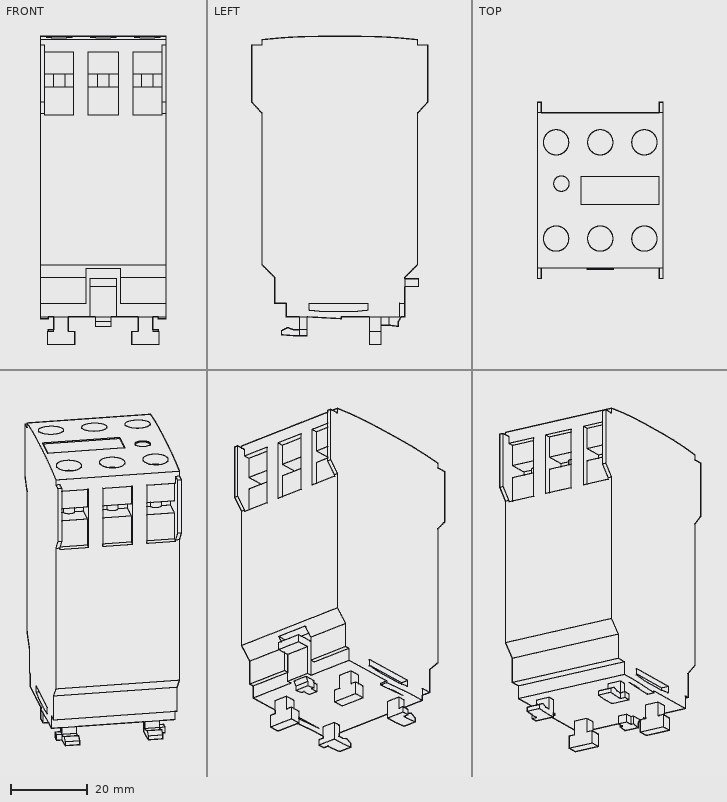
import cadquery as cq


width = 32.8
body_half_depth = 20.25
lower_half_depth = 16.95
base_front = -15.6
base_rear = 14.0
base_z = 7.2
base_step_z = 10.8
taper_bottom_z = 17.5
taper_top_z = 20.8

lid_edge_z = 79.5
lid_top_z = 80.35
lid_flat_half_depth = 4.4

cheek_thickness = 1.05
cheek_half_depth = 23.0
cheek_top_z = 78.1
cheek_bevel_top_z = 63.2
cheek_bottom_z = 60.3

pole_pitch = 11.5
screw_row_y = 12.5
screw_hole_radius = 3.3
screw_hole_floor_z = 77.45
middle_window_width = 7.9
outer_window_width = 7.6
window_outer_x = width / 2 - cheek_thickness
window_bottom_z = 59.9
window_top_z = 76.2
window_depth = 1.8
clamp_gap_bottom_z = 67.2
clamp_gap_top_z = 70.55
clamp_gap_back_y = -12.9
screw_shaft_radius = 1.5

recess_depth = 0.3
label_length = 20.4
label_width = 7.3
label_x = 5.15
button_radius = 2.0
button_x = -10.1
button_y = 1.8

latch_recess_width = 9.0
latch_recess_top_z = 19.85
latch_width = 6.8
latch_lip_front = -20.6
latch_lip_bottom_z = 15.1
latch_lip_top_z = 17.2

slot_depth = 2.1
slot_front = -7.3
slot_rear = 8.0
slot_ramp_length = 3.8
slot_end_z = 9.0
slot_floor_z = 8.6
spring_front = -0.4
spring_rear = 8.5
spring_drop = 0.5

stem_inner_x = 9.1
stem_outer_x = 12.9
front_leg_rear = -7.7
front_leg_front = -10.8
front_foot_inner_x = 7.4
front_foot_outer_x = 14.55
front_foot_top_z = 3.45
rear_leg_front = 8.5
rear_leg_rear = 10.5
rear_foot_outer_x = 14.4
rear_foot_bottom_z = 2.3
rear_foot_top_z = 3.9
rear_arm_end = 15.2
rear_arm_peak_y = 13.6
rear_arm_peak_z = 4.5
rear_arm_neck_y = 12.05
rear_arm_nose_top_z = 3.7
rear_arm_nose_bottom_z = 2.6

slider_width = 4.1
slider_neck_width = 2.6
slider_step_y = -12.85
slider_front = -15.3
slider_nose_y = -16.0
slider_nose_z = 6.0
slider_front_bottom_z = 4.75
slider_rear_bottom_z = 5.1


def box(x0, x1, y0, y1, z0, z1):
    """Box between two opposite corners."""
    return cq.Workplane("XY").box(x1 - x0, y1 - y0, z1 - z0, centered=False).translate((x0, y0, z0))


def prism(points, x0, x1):
    """Closed (y, z) outline extruded along X from x0 to x1."""
    return cq.Workplane("YZ").polyline(points).close().extrude(x1 - x0).translate((x0, 0, 0))


def both_sides(solid, plane):
    """The solid together with its mirror image."""
    return solid.union(solid.mirror(plane))


def housing():
    arc_mid_y = (body_half_depth + lid_flat_half_depth) / 2
    arc_mid_z = lid_top_z - (lid_top_z - lid_edge_z) / 4
    outline = (
        cq.Workplane("YZ")
        .moveTo(base_front, base_z)
        .lineTo(base_front, base_step_z)
        .lineTo(-lower_half_depth, base_step_z)
        .lineTo(-lower_half_depth, taper_bottom_z)
        .lineTo(-body_half_depth, taper_top_z)
        .lineTo(-body_half_depth, lid_edge_z)
        .threePointArc((-arc_mid_y, arc_mid_z), (-lid_flat_half_depth, lid_top_z))
        .lineTo(lid_flat_half_depth, lid_top_z)
        .threePointArc((arc_mid_y, arc_mid_z), (body_half_depth, lid_edge_z))
        .lineTo(body_half_depth, taper_top_z)
        .lineTo(lower_half_depth, taper_bottom_z)
        .lineTo(lower_half_depth, base_step_z)
        .lineTo(base_rear, base_step_z)
        .lineTo(base_rear, base_z)
        .close()
    )
    return outline.extrude(width / 2, both=True)


def cheeks():
    outline = [
        (-body_half_depth, cheek_bottom_z),
        (-cheek_half_depth, cheek_bevel_top_z),
        (-cheek_half_depth, cheek_top_z),
        (cheek_half_depth, cheek_top_z),
        (cheek_half_depth, cheek_bevel_top_z),
        (body_half_depth, cheek_bottom_z),
    ]
    return both_sides(prism(outline, width / 2 - cheek_thickness, width / 2), "YZ")


def terminal_window(x0, x1, shaft_x):
    """Front window with a deep clamp gap that exposes the front of a screw shaft."""
    pocket = box(x0, x1, -body_half_depth, window_depth - body_half_depth, window_bottom_z, window_top_z)
    gap = box(x0, x1, -body_half_depth, clamp_gap_back_y, clamp_gap_bottom_z, clamp_gap_top_z)
    shaft = (
        cq.Workplane("XY", origin=(shaft_x, -screw_row_y, clamp_gap_bottom_z))
        .circle(screw_shaft_radius)
        .extrude(clamp_gap_top_z - clamp_gap_bottom_z)
    )
    return pocket.union(gap).cut(shaft)


def terminal_windows():
    middle_half = middle_window_width / 2
    inner_x = window_outer_x - outer_window_width
    windows = terminal_window(-middle_half, middle_half, 0)
    windows = windows.union(terminal_window(-window_outer_x, -inner_x, -pole_pitch))
    windows = windows.union(terminal_window(inner_x, window_outer_x, pole_pitch))
    return both_sides(windows, "XZ")


def screw_holes():
    centres = [(pole * pole_pitch, side * screw_row_y) for pole in (-1, 0, 1) for side in (-1, 1)]
    return (
        cq.Workplane("XY", origin=(0, 0, screw_hole_floor_z))
        .pushPoints(centres)
        .circle(screw_hole_radius)
        .extrude(lid_top_z - screw_hole_floor_z)
    )


def lid_recesses():
    floor = cq.Workplane("XY", origin=(0, 0, lid_top_z - recess_depth))
    label = floor.center(label_x, 0).rect(label_length, label_width).extrude(recess_depth)
    button = floor.center(button_x, button_y).circle(button_radius).extrude(recess_depth)
    return label.union(button)


def latch_recess():
    half = latch_recess_width / 2
    return box(-half, half, -body_half_depth, base_front, base_z, latch_recess_top_z)


def latch():
    outline = [
        (base_front, base_z),
        (-lower_half_depth, base_z),
        (-lower_half_depth, latch_lip_bottom_z),
        (latch_lip_front, latch_lip_bottom_z),
        (latch_lip_front, latch_lip_top_z),
        (base_front, latch_lip_top_z),
    ]
    return prism(outline, -latch_width / 2, latch_width / 2)


def spring_slots():
    outline = [
        (slot_front, base_step_z),
        (slot_front, slot_end_z),
        (slot_front + slot_ramp_length, slot_floor_z),
        (slot_rear - slot_ramp_length, slot_floor_z),
        (slot_rear, slot_end_z),
        (slot_rear, base_step_z),
    ]
    return both_sides(prism(outline, width / 2 - slot_depth, width / 2), "YZ")


def spring_tongues():
    outline = [
        (spring_rear, base_z),
        (spring_front, base_z),
        (spring_front, base_z - spring_drop),
    ]
    return both_sides(prism(outline, width / 2 - slot_depth, width / 2), "YZ")


def front_legs():
    stem = box(stem_inner_x, stem_outer_x, front_leg_front, front_leg_rear, 0, base_z)
    foot = box(
        front_foot_inner_x, front_foot_outer_x, front_leg_front, front_leg_rear, 0, front_foot_top_z
    )
    return both_sides(stem.union(foot), "YZ")


def rear_legs():
    stem = box(stem_inner_x, stem_outer_x, rear_leg_front, rear_leg_rear, rear_foot_bottom_z, base_z)
    foot = box(
        stem_inner_x, rear_foot_outer_x, rear_leg_front, rear_leg_rear, rear_foot_bottom_z, rear_foot_top_z
    )
    arm_outline = [
        (rear_leg_rear, rear_foot_bottom_z),
        (rear_leg_rear, rear_foot_top_z),
        (rear_arm_neck_y, rear_foot_top_z),
        (rear_arm_peak_y, rear_arm_peak_z),
        (rear_arm_end, rear_arm_nose_top_z),
        (rear_arm_end, rear_arm_nose_bottom_z),
        (rear_arm_neck_y, rear_foot_bottom_z),
    ]
    arm = prism(arm_outline, stem_inner_x, stem_outer_x)
    return both_sides(stem.union(foot).union(arm), "YZ")


def slider():
    head_outline = [
        (slider_step_y, base_z),
        (slider_nose_y, base_z),
        (slider_front, slider_nose_z),
        (slider_front, slider_front_bottom_z),
        (slider_step_y, slider_rear_bottom_z),
    ]
    head = prism(head_outline, -slider_width / 2, slider_width / 2)
    neck_half = slider_neck_width / 2
    neck = box(-neck_half, neck_half, slider_step_y, front_leg_front, slider_rear_bottom_z, base_z)
    return head.union(neck)


result = housing().union(cheeks())
for cutter in (terminal_windows(), screw_holes(), lid_recesses(), latch_recess(), spring_slots()):
    result = result.cut(cutter)
for addition in (latch(), spring_tongues(), front_legs(), rear_legs(), slider()):
    result = result.union(addition)